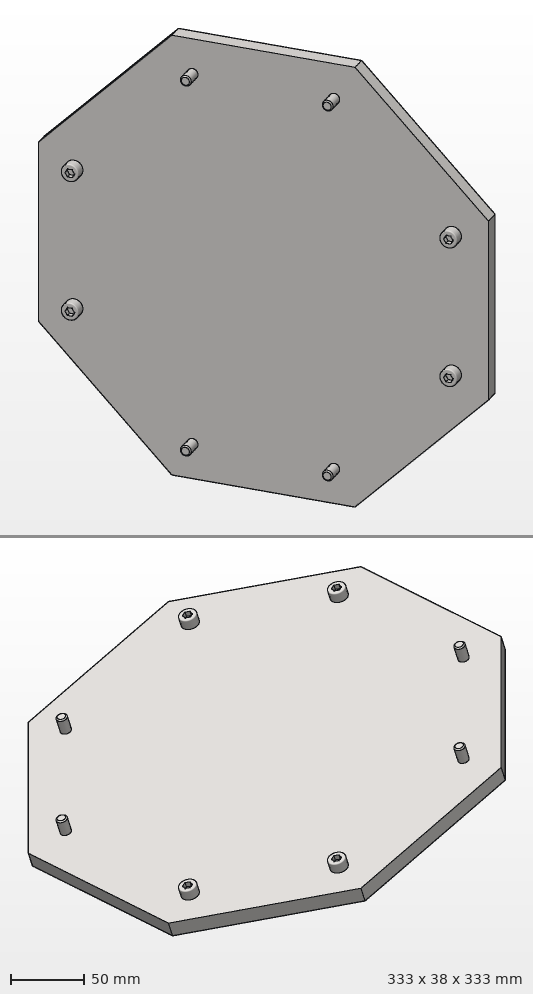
import cadquery as cq

plate_width = 333.0
plate_thickness = 12.0
flat_length = 135.5
corner_cut = (plate_width - flat_length) / 2

screw_far_spacing = 280.0
screw_near_spacing = 105.0
screw_far_offset = screw_far_spacing / 2
screw_near_offset = screw_near_spacing / 2
shank_diameter = 8.0
shank_projection = 13.0
tip_chamfer = 1.0
head_diameter = 13.0
head_height = shank_diameter
head_edge_round = 0.8
socket_across_flats = 6.0
socket_depth = head_height / 2
socket_turn = 90.0


def make_plate():
    blank = cq.Workplane("XY").box(plate_width, plate_thickness, plate_width)
    return blank.edges("|Y").chamfer(corner_cut)


def make_screw():
    """Screw along Y with its head bearing on the front face of the plate."""
    front_face = -plate_thickness / 2
    head_top = front_face - head_height
    shank_length = plate_thickness + shank_projection

    head = (
        cq.Workplane("XZ", origin=(0, front_face, 0))
        .circle(head_diameter / 2)
        .extrude(head_height)
        .faces("<Y")
        .edges()
        .fillet(head_edge_round)
    )
    socket = (
        cq.Workplane("XZ", origin=(0, head_top, 0))
        .transformed(rotate=(0, 0, socket_turn))
        .polygon(6, socket_across_flats, circumscribed=True)
        .extrude(-socket_depth)
    )
    shank = (
        cq.Workplane("XZ", origin=(0, front_face, 0))
        .circle(shank_diameter / 2)
        .extrude(-shank_length)
        .faces(">Y")
        .chamfer(tip_chamfer)
    )
    return head.cut(socket).union(shank)


front_screw = make_screw()
back_screw = front_screw.rotate((0, 0, 0), (0, 0, 1), 180)

result = make_plate()
for far in (-screw_far_offset, screw_far_offset):
    for near in (-screw_near_offset, screw_near_offset):
        result = result.union(front_screw.translate((far, 0, near)))
        result = result.union(back_screw.translate((near, 0, far)))